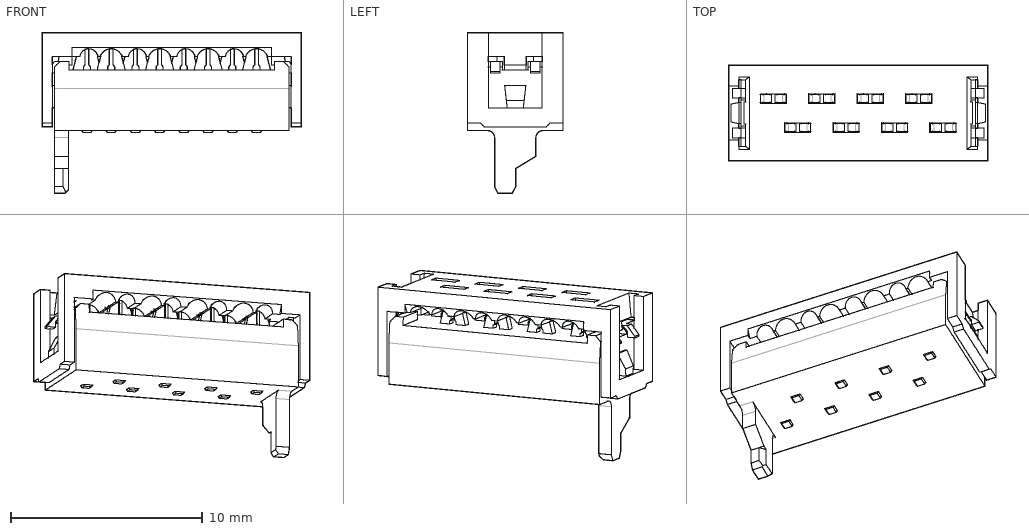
import cadquery as cq

LENGTH = 13.54
WIDTH = 5.0
TOP = 5.12
HALF_LENGTH = LENGTH / 2
HALF_WIDTH = WIDTH / 2

BASE_HALF_LENGTH = 6.13
DECK = 3.18
EAR_TOP = 3.62
EAR_INNER_X = 5.36
EAR_INNER_Y = 0.68
EAR_CHAMFER = 0.3
SLOPE_START = 2.21
SLOPE_SETBACK = 0.16

SLAB_BOTTOM = 3.87
LEG_INNER_X = 6.23
LEG_BOTTOM = 0.2
LEG_FLANK_BOTTOM = 0.4
LEG_FLANK_Y = 1.81
LEG_FOOT_Y = 1.62
LEDGE = 1.19
LEG_WINDOW_HALF_WIDTH = 1.41
TONGUE_BOTTOM = 3.43
TONGUE_HALF_WIDTH = 0.58
WINDOW_HALF_LENGTH = 5.2
WINDOW_TOP = 4.35
WINDOW_LEAD_IN = 0.26

END_SLOT_INNER_X = 5.69
END_SLOT_HALF_WIDTH = 1.9
END_SLOT_DRAFT_X = 0.2
END_SLOT_DRAFT_Y = 0.16

CONTACT_COUNT = 8
PITCH = 1.266
ROW_Y = 0.76
CONTACT_THICKNESS = 0.4
CONTACT_FOOT = 0.73
CONTACT_NECK = 0.55
HEAD_HALF_WIDTH = 0.66
TIP_X = 0.49
TIP_Z = 4.79
FORK_HALF_GAP = 0.1
FORK_POCKET_HALF = 0.18
FORK_POCKET_SHOULDER = 3.35
FORK_POCKET_TOP = 3.44
TAIL_DEPTH = 0.1
TAIL_HALF_TOP = 0.27
TAIL_HALF_TIP = 0.2
COVER_SLOT_LENGTH = 1.37
COVER_SLOT_WIDTH = 0.5

GROOVE_TOP = 4.28
GROOVE_SIDE = 0.57
GROOVE_SHORT_SIDE = 0.37

UPPER_LATCH_Y = 1.04
UPPER_LATCH_WIDTH = 0.5
UPPER_LATCH_X = 6.57
UPPER_LATCH_NOSE = 3.09
UPPER_LATCH_BOTTOM = 3.0
LOWER_LATCH_X = 6.65
LOWER_LATCH_TOP = 2.37
LOWER_LATCH_NOSE = 1.58
LOWER_LATCH_HALF_TOP = 0.55
LOWER_LATCH_HALF_BOTTOM = 0.42

PIN_THICKNESS = 0.75
PIN_HALF_WIDTH = 1.08
PIN_ROOT_RADIUS = 0.37
PIN_SHOULDER = -1.34
PIN_NECK = -1.98
PIN_NARROW_Y = -0.03
PIN_TIP_START = -2.92
PIN_TIP = -3.28
PIN_TIP_TAPER = 0.18
PIN_EDGE_CHAMFER = 0.28
PIN_END_CHAMFER = 0.19


def block(x_range, y_range, z_range):
    """Box given by its limits on each axis."""
    size = [high - low for low, high in (x_range, y_range, z_range)]
    corner = (x_range[0], y_range[0], z_range[0])
    return cq.Workplane("XY").box(*size, centered=False).translate(corner)


def prism_along_x(points, x_start, x_end):
    """Extrude a closed outline of (y, z) points from x_start to x_end."""
    outline = cq.Workplane("YZ", origin=(x_start, 0, 0)).polyline(points).close()
    return outline.extrude(x_end - x_start)


def prism_along_y(points, y_start, y_end):
    """Extrude a closed outline of (x, z) points from y_start to y_end."""
    outline = cq.Workplane("XZ", origin=(0, y_end, 0)).polyline(points).close()
    return outline.extrude(y_end - y_start)


def both_ends(body):
    """A feature together with its mirror image across X = 0."""
    return body.union(body.mirror("YZ"))


def both_sides(body):
    """A feature together with its mirror image across Y = 0."""
    return body.union(body.mirror("XZ"))


def contact_places():
    """Index, X and Y of every contact; the first stands in the +Y row."""
    first_x = -PITCH * (CONTACT_COUNT - 1) / 2
    for index in range(CONTACT_COUNT):
        row_y = ROW_Y if index % 2 == 0 else -ROW_Y
        yield index, first_x + index * PITCH, row_y


def make_base():
    ear_y = HALF_WIDTH - SLOPE_SETBACK
    section = [
        (-HALF_WIDTH, 0),
        (HALF_WIDTH, 0),
        (HALF_WIDTH, SLOPE_START),
        (ear_y, EAR_TOP),
        (-ear_y, EAR_TOP),
        (-HALF_WIDTH, SLOPE_START),
    ]
    base = prism_along_x(section, -BASE_HALF_LENGTH, BASE_HALF_LENGTH)
    base = base.faces(">Z").edges("<X or >X").chamfer(EAR_CHAMFER)
    across = (-HALF_WIDTH, HALF_WIDTH)
    base = base.cut(block((-EAR_INNER_X, EAR_INNER_X), across, (DECK, EAR_TOP)))
    along = (-BASE_HALF_LENGTH, BASE_HALF_LENGTH)
    return base.cut(block(along, (-EAR_INNER_Y, EAR_INNER_Y), (DECK, EAR_TOP)))


def make_upper_latches():
    ear_flat_x = -BASE_HALF_LENGTH + EAR_CHAMFER
    profile = [
        (ear_flat_x, EAR_TOP),
        (-BASE_HALF_LENGTH, EAR_TOP),
        (-UPPER_LATCH_X, UPPER_LATCH_NOSE),
        (-UPPER_LATCH_X, UPPER_LATCH_BOTTOM),
        (ear_flat_x, UPPER_LATCH_BOTTOM),
    ]
    y_start = -UPPER_LATCH_Y - UPPER_LATCH_WIDTH / 2
    latch = prism_along_y(profile, y_start, y_start + UPPER_LATCH_WIDTH)
    return both_ends(both_sides(latch))


def make_lower_latches():
    """Wedges that rest on the ledges of the cover legs."""
    profile = [
        (-BASE_HALF_LENGTH, LOWER_LATCH_TOP),
        (-LEG_INNER_X, LOWER_LATCH_TOP),
        (-LOWER_LATCH_X, LOWER_LATCH_NOSE),
        (-LOWER_LATCH_X, LEDGE),
        (-BASE_HALF_LENGTH, LEDGE),
    ]
    face = [
        (-LOWER_LATCH_HALF_TOP, LOWER_LATCH_TOP),
        (LOWER_LATCH_HALF_TOP, LOWER_LATCH_TOP),
        (LOWER_LATCH_HALF_BOTTOM, LEDGE),
        (-LOWER_LATCH_HALF_BOTTOM, LEDGE),
    ]
    latch = prism_along_y(profile, -HALF_WIDTH, HALF_WIDTH)
    latch = latch.intersect(prism_along_x(face, -HALF_LENGTH, -BASE_HALF_LENGTH))
    return both_ends(latch)


def make_cover_leg():
    """Leg at the -X end, open at the middle from its ledge to the top."""
    section = [
        (-HALF_WIDTH, TOP),
        (-HALF_WIDTH, LEG_FLANK_BOTTOM),
        (-LEG_FLANK_Y, LEG_FLANK_BOTTOM),
        (-LEG_FOOT_Y, LEG_BOTTOM),
        (LEG_FOOT_Y, LEG_BOTTOM),
        (LEG_FLANK_Y, LEG_FLANK_BOTTOM),
        (HALF_WIDTH, LEG_FLANK_BOTTOM),
        (HALF_WIDTH, TOP),
    ]
    return prism_along_x(section, -HALF_LENGTH, -LEG_INNER_X)


def make_end_slot():
    """Slot through the -X end of the slab, narrowing downward."""
    slab_height = TOP - SLAB_BOTTOM
    depth = TOP - TONGUE_BOTTOM
    draft_x = END_SLOT_DRAFT_X * depth / slab_height
    draft_y = END_SLOT_DRAFT_Y * depth / slab_height
    profile = [
        (-LEG_INNER_X, TOP),
        (-END_SLOT_INNER_X, TOP),
        (-END_SLOT_INNER_X - draft_x, TONGUE_BOTTOM),
        (-LEG_INNER_X, TONGUE_BOTTOM),
    ]
    section = [
        (-END_SLOT_HALF_WIDTH, TOP),
        (END_SLOT_HALF_WIDTH, TOP),
        (END_SLOT_HALF_WIDTH - draft_y, TONGUE_BOTTOM),
        (-END_SLOT_HALF_WIDTH + draft_y, TONGUE_BOTTOM),
    ]
    slot = prism_along_y(profile, -HALF_WIDTH, HALF_WIDTH)
    return slot.intersect(prism_along_x(section, -LEG_INNER_X, -END_SLOT_INNER_X))


def make_window_lead_in():
    """Sloped recess under the -Y edge of the slab."""
    section = [
        (-HALF_WIDTH, SLAB_BOTTOM),
        (-HALF_WIDTH, WINDOW_TOP),
        (-HALF_WIDTH + WINDOW_LEAD_IN, SLAB_BOTTOM),
    ]
    return prism_along_x(section, -WINDOW_HALF_LENGTH, WINDOW_HALF_LENGTH)


def make_groove(x, left_side):
    """Arched cable groove across the underside of the slab."""
    middle_x = x + (GROOVE_SIDE - left_side) / 2
    outline = (
        cq.Workplane("XZ", origin=(0, HALF_WIDTH, 0))
        .moveTo(x - left_side, SLAB_BOTTOM)
        .threePointArc((middle_x, GROOVE_TOP), (x + GROOVE_SIDE, SLAB_BOTTOM))
        .close()
    )
    return outline.extrude(WIDTH)


def make_cover():
    across = (-HALF_WIDTH, HALF_WIDTH)
    cover = block((-HALF_LENGTH, HALF_LENGTH), across, (SLAB_BOTTOM, TOP))
    tongue_y = (-TONGUE_HALF_WIDTH, TONGUE_HALF_WIDTH)
    tongue = block((-LEG_INNER_X, -WINDOW_HALF_LENGTH), tongue_y, (TONGUE_BOTTOM, SLAB_BOTTOM))
    cover = cover.union(both_ends(make_cover_leg().union(tongue)))

    leg_window_y = (-LEG_WINDOW_HALF_WIDTH, LEG_WINDOW_HALF_WIDTH)
    leg_window = block((-HALF_LENGTH, -LEG_INNER_X), leg_window_y, (LEDGE, TOP))
    cover = cover.cut(both_ends(leg_window.union(make_end_slot())))
    cover = cover.cut(both_sides(make_window_lead_in()))

    for index, x, y in contact_places():
        left_side = GROOVE_SHORT_SIDE if index % 2 == 0 else GROOVE_SIDE
        cover = cover.cut(make_groove(x, left_side))
        slot_x = (x - COVER_SLOT_LENGTH / 2, x + COVER_SLOT_LENGTH / 2)
        slot_y = (y - COVER_SLOT_WIDTH / 2, y + COVER_SLOT_WIDTH / 2)
        cover = cover.cut(block(slot_x, slot_y, (SLAB_BOTTOM, TOP)))
    return cover


def make_contact():
    """Forked contact centred on X = 0, Y = 0: two rounded tines and a tail."""
    lobe_radius = TIP_X - FORK_HALF_GAP
    outer_radius = HEAD_HALF_WIDTH - TIP_X
    tine = (
        cq.Workplane("XZ", origin=(0, CONTACT_THICKNESS / 2, 0))
        .moveTo(FORK_POCKET_HALF, DECK)
        .lineTo(FORK_POCKET_HALF, FORK_POCKET_SHOULDER)
        .lineTo(FORK_HALF_GAP, FORK_POCKET_TOP)
        .lineTo(FORK_HALF_GAP, TIP_Z - lobe_radius)
        .radiusArc((TIP_X, TIP_Z), lobe_radius)
        .radiusArc((HEAD_HALF_WIDTH, TIP_Z - outer_radius), outer_radius)
        .lineTo(CONTACT_NECK, SLAB_BOTTOM)
        .lineTo(CONTACT_FOOT, DECK)
        .close()
        .extrude(CONTACT_THICKNESS)
    )
    tail_outline = [
        (-TAIL_HALF_TOP, 0),
        (TAIL_HALF_TOP, 0),
        (TAIL_HALF_TIP, -TAIL_DEPTH),
        (-TAIL_HALF_TIP, -TAIL_DEPTH),
    ]
    tail = prism_along_y(tail_outline, -CONTACT_THICKNESS / 2, CONTACT_THICKNESS / 2)
    return both_ends(tine).union(tail)


def make_pin():
    root_y = PIN_HALF_WIDTH + PIN_ROOT_RADIUS
    x_start = -BASE_HALF_LENGTH
    x_end = x_start + PIN_THICKNESS
    pin = (
        cq.Workplane("YZ", origin=(x_start, 0, 0))
        .moveTo(-root_y, 0)
        .radiusArc((-PIN_HALF_WIDTH, -PIN_ROOT_RADIUS), PIN_ROOT_RADIUS)
        .lineTo(-PIN_HALF_WIDTH, PIN_SHOULDER)
        .lineTo(PIN_NARROW_Y, PIN_NECK)
        .lineTo(PIN_NARROW_Y, PIN_TIP_START)
        .lineTo(PIN_NARROW_Y + PIN_TIP_TAPER, PIN_TIP)
        .lineTo(PIN_HALF_WIDTH - PIN_TIP_TAPER, PIN_TIP)
        .lineTo(PIN_HALF_WIDTH, PIN_TIP_START)
        .lineTo(PIN_HALF_WIDTH, -PIN_ROOT_RADIUS)
        .radiusArc((root_y, 0), PIN_ROOT_RADIUS)
        .close()
        .extrude(PIN_THICKNESS)
    )
    edge_bevel = (
        cq.Workplane("XY", origin=(0, 0, PIN_TIP))
        .moveTo(x_end, PIN_NARROW_Y)
        .lineTo(x_end, PIN_NARROW_Y + PIN_EDGE_CHAMFER)
        .lineTo(x_end - PIN_EDGE_CHAMFER, PIN_NARROW_Y)
        .close()
        .extrude(PIN_NECK - PIN_TIP)
    )
    end_bevel_outline = [
        (x_end, PIN_TIP),
        (x_end, PIN_TIP + PIN_END_CHAMFER),
        (x_end - PIN_END_CHAMFER, PIN_TIP),
    ]
    end_bevel = prism_along_y(end_bevel_outline, -PIN_HALF_WIDTH, PIN_HALF_WIDTH)
    return pin.cut(edge_bevel).cut(end_bevel)


result = make_base().union(make_upper_latches()).union(make_lower_latches())
result = result.union(make_pin()).union(make_cover())
contact = make_contact()
for _, contact_x, contact_y in contact_places():
    result = result.union(contact.translate((contact_x, contact_y, 0)))